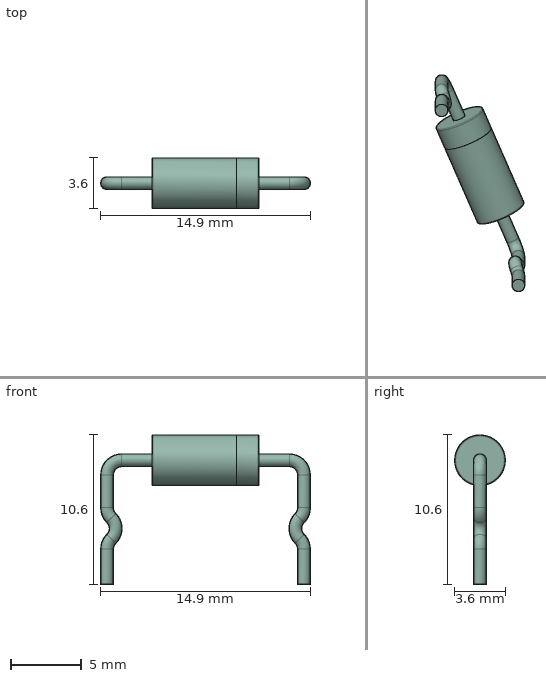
import cadquery as cq
import math

span = 14.87
body_diameter = 3.6
body_length = 7.58
band_length = 1.59
rim_fillet = 0.07

wire_diameter = 0.9
bend_radius = 1.04
leg_drop = 8.8
kink_tip_height = 3.97
kink_angle = math.radians(45)

leg_x = (span - wire_diameter) / 2
kink_z = kink_tip_height - leg_drop
band_start_x = body_length / 2 - band_length


def cylinder_along_x(start_x, length, diameter):
    return cq.Workplane("YZ", origin=(start_x, 0, 0)).circle(diameter / 2).extrude(length)


def on_bend(center, angle):
    """Point (x, z) at an angle on the bend with the given center."""
    return (
        center[0] + bend_radius * math.cos(angle),
        center[1] + bend_radius * math.sin(angle),
    )


def left_leg_segments():
    """Centreline of the left leg, from its tip up to the horizontal run."""
    outer_center_x = bend_radius - leg_x
    inner_center_x = outer_center_x - 2 * bend_radius * math.cos(kink_angle)
    center_rise = 2 * bend_radius * math.sin(kink_angle)
    lower_center = (outer_center_x, kink_z - center_rise)
    middle_center = (inner_center_x, kink_z)
    upper_center = (outer_center_x, kink_z + center_rise)
    corner_center = (outer_center_x, -bend_radius)

    tip = (-leg_x, -leg_drop)
    kink_bottom = on_bend(lower_center, math.pi)
    lower_turn = on_bend(middle_center, -kink_angle)
    upper_turn = on_bend(middle_center, kink_angle)
    kink_top = on_bend(upper_center, math.pi)
    corner_bottom = on_bend(corner_center, math.pi)
    corner_top = on_bend(corner_center, math.pi / 2)
    return [
        (tip, kink_bottom),
        (kink_bottom, on_bend(lower_center, math.pi - kink_angle / 2), lower_turn),
        (lower_turn, on_bend(middle_center, 0), upper_turn),
        (upper_turn, on_bend(upper_center, math.pi + kink_angle / 2), kink_top),
        (kink_top, corner_bottom),
        (corner_bottom, on_bend(corner_center, math.pi * 3 / 4), corner_top),
    ]


def mirror_segments(segments):
    """Segments mirrored in X and reversed, so they run on down the right leg."""
    return [
        tuple((-x, z) for x, z in reversed(segment))
        for segment in reversed(segments)
    ]


def segment_edge(segment):
    """Line through two (x, z) points, or arc through three."""
    points = [cq.Vector(x, 0, z) for x, z in segment]
    if len(points) == 2:
        return cq.Edge.makeLine(*points)
    return cq.Edge.makeThreePointArc(*points)


def make_wire():
    left = left_leg_segments()
    right = mirror_segments(left)
    horizontal_run = (left[-1][-1], right[0][0])
    segments = left + [horizontal_run] + right
    path = cq.Wire.assembleEdges([segment_edge(segment) for segment in segments])
    tip_plane = cq.Workplane("XY", origin=(-leg_x, 0, -leg_drop))
    return tip_plane.circle(wire_diameter / 2).sweep(cq.Workplane(path))


def make_sleeve(start_x, length, rim_selector):
    """Part of the cylinder, with one rounded rim and a bore for the wire."""
    sleeve = cylinder_along_x(start_x, length, body_diameter)
    sleeve = sleeve.faces(rim_selector).edges().fillet(rim_fillet)
    return sleeve.cut(cylinder_along_x(start_x, length, wire_diameter))


body = make_sleeve(-body_length / 2, body_length - band_length, "<X")
band = make_sleeve(band_start_x, band_length, ">X")
lead_wire = make_wire()

result = cq.Compound.makeCompound([body.val(), band.val(), lead_wire.val()])